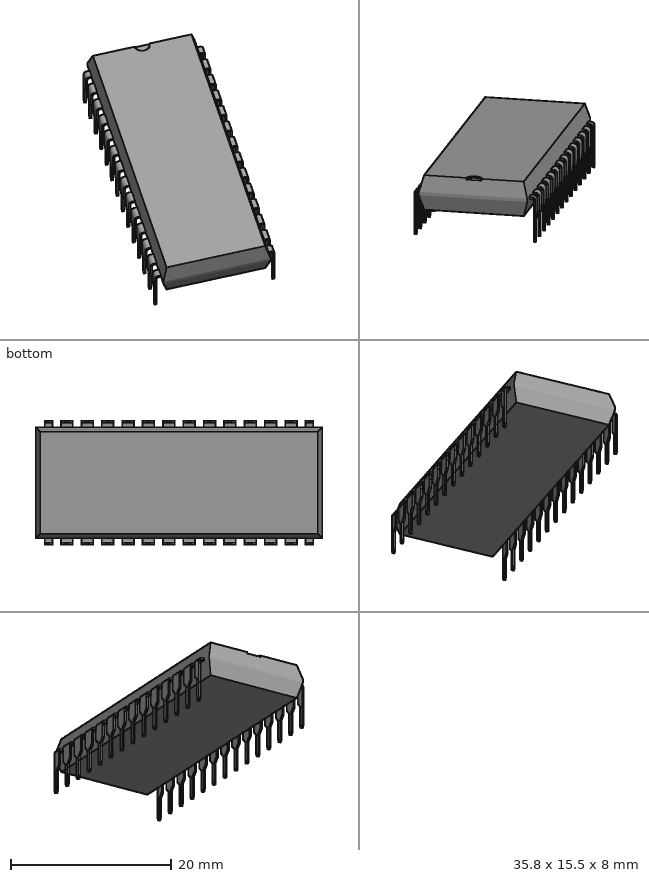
import cadquery as cq

BODY_LENGTH = 35.8
BODY_WIDTH = 13.9
BELT_HEIGHT = 0.43
HALF_HEIGHT = 2.05
TAPER_INSET = 0.57

NOTCH_RADIUS = 0.95
NOTCH_DEPTH = 0.2

LEADS_PER_ROW = 14
LEAD_PITCH = 2.55
ROW_SPAN = 15.5
LEAD_THICKNESS = 0.25
BEND_RADIUS = 0.5
SHOULDER_WIDTH = 1.5
PIN_WIDTH = 0.5
LEAD_DROP = 5.73
SHOULDER_DROP = 2.22
SHOULDER_TAPER = 0.55
TIP_HEIGHT = 0.35
TIP_WIDTH = 0.25
ROOT_EMBED = 0.35

BELT_TOP = BELT_HEIGHT / 2
BODY_TOP = BELT_TOP + HALF_HEIGHT
LEAD_TOP = LEAD_THICKNESS / 2
LEAD_BOTTOM = -LEAD_DROP
LEAD_OUTER_Y = -ROW_SPAN / 2
LEAD_ROOT_Y = -BODY_WIDTH / 2 + ROOT_EMBED


def body_half():
    """Upper tapering half, standing on the belt."""
    return (
        cq.Workplane("XY", origin=(0, 0, BELT_TOP))
        .rect(BODY_LENGTH, BODY_WIDTH)
        .workplane(offset=HALF_HEIGHT)
        .rect(BODY_LENGTH - 2 * TAPER_INSET, BODY_WIDTH - 2 * TAPER_INSET)
        .loft(ruled=True)
    )


def moulded_body():
    belt = cq.Workplane("XY").box(BODY_LENGTH, BODY_WIDTH, BELT_HEIGHT)
    upper = body_half()
    return belt.union(upper).union(upper.mirror("XY"))


def notch():
    """Round cutter whose axis lies where the notch floor meets the sloping end face."""
    floor_inset = TAPER_INSET * (1 - NOTCH_DEPTH / HALF_HEIGHT)
    axis_x = -BODY_LENGTH / 2 + floor_inset
    return (
        cq.Workplane("XY", origin=(axis_x, 0, BODY_TOP - NOTCH_DEPTH))
        .circle(NOTCH_RADIUS)
        .extrude(NOTCH_DEPTH)
    )


def bent_strip():
    """Side profile shared by every lead of the -Y row, swept along the whole row."""
    inner_radius = BEND_RADIUS - LEAD_THICKNESS
    bend_y = LEAD_OUTER_Y + BEND_RADIUS
    bend_z = LEAD_TOP - BEND_RADIUS
    profile = (
        cq.Workplane("YZ")
        .moveTo(LEAD_ROOT_Y, LEAD_TOP)
        .lineTo(bend_y, LEAD_TOP)
        .radiusArc((LEAD_OUTER_Y, bend_z), -BEND_RADIUS)
        .lineTo(LEAD_OUTER_Y, LEAD_BOTTOM)
        .lineTo(LEAD_OUTER_Y + LEAD_THICKNESS, LEAD_BOTTOM)
        .lineTo(LEAD_OUTER_Y + LEAD_THICKNESS, bend_z)
        .radiusArc((bend_y, LEAD_TOP - LEAD_THICKNESS), inner_radius)
        .lineTo(LEAD_ROOT_Y, LEAD_TOP - LEAD_THICKNESS)
        .close()
    )
    return profile.extrude(BODY_LENGTH / 2, both=True)


def lead_outline(x, shoulder_left, shoulder_right):
    """Face outline of one lead centred on x, with the given reach of its shoulder to each side."""
    pin_half = PIN_WIDTH / 2
    tip_half = TIP_WIDTH / 2
    pin_start = -SHOULDER_DROP - SHOULDER_TAPER
    tip_start = LEAD_BOTTOM + TIP_HEIGHT
    right = [
        (shoulder_right, LEAD_TOP),
        (shoulder_right, -SHOULDER_DROP),
        (pin_half, pin_start),
        (pin_half, tip_start),
        (tip_half, LEAD_BOTTOM),
    ]
    left = [
        (-tip_half, LEAD_BOTTOM),
        (-pin_half, tip_start),
        (-pin_half, pin_start),
        (-shoulder_left, -SHOULDER_DROP),
        (-shoulder_left, LEAD_TOP),
    ]
    return (
        cq.Workplane("XZ", origin=(x, 0, 0))
        .polyline(right + left)
        .close()
        .extrude(ROW_SPAN / 2)
    )


def lead_row():
    """The -Y row; the end leads have no shoulder on the side facing the body's ends."""
    last = LEADS_PER_ROW - 1
    outlines = cq.Workplane("XY")
    for i in range(LEADS_PER_ROW):
        x = (i - last / 2) * LEAD_PITCH
        left = PIN_WIDTH / 2 if i == 0 else SHOULDER_WIDTH / 2
        right = PIN_WIDTH / 2 if i == last else SHOULDER_WIDTH / 2
        outlines = outlines.add(lead_outline(x, left, right))
    return bent_strip().intersect(outlines.combine())


row = lead_row()
result = moulded_body().cut(notch()).union(row).union(row.mirror("XZ"))